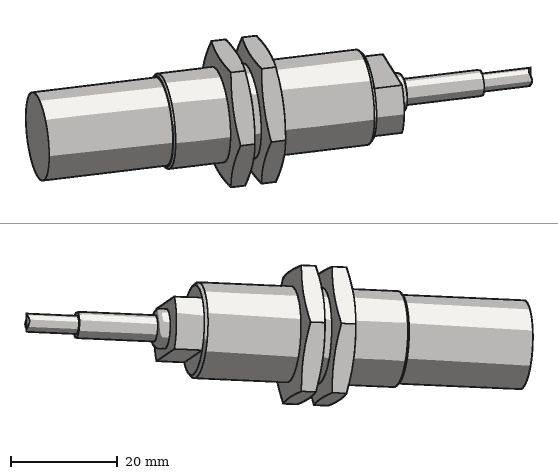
import cadquery as cq
import math

OVERALL_LENGTH = 96.0

HEAD_DIAMETER = 16.7
BARREL_DIAMETER = 18.0
BARREL_FRONT = 24.0
BARREL_BACK = 63.5
FRONT_CHAMFER = 0.4
BACK_CHAMFER = 0.6

PLUG_DIAMETER = BARREL_DIAMETER - 2 * BACK_CHAMFER
PLUG_FLATS = 10.0
PLUG_BACK = 68.9
COLLAR_DIAMETER = 7.5
COLLAR_BACK = 71.0
COLLAR_FILLET = 1.0
SLEEVE_DIAMETER = 5.0
SLEEVE_BACK = 86.1
SLEEVE_TAPER_LENGTH = 0.6
SLEEVE_TAPER_DEPTH = 0.1

NUT_FLATS = 24.0
NUT_THICKNESS = 4.0
NUT_GAP = 1.9
NUT_COUNT = 2
FIRST_NUT_FRONT = 35.0
NUT_FACE_DIAMETER = 23.0
NUT_CHAMFER_ANGLE = 15.0

CABLE_DIAMETER = 3.5
BREAK_HEIGHT = 0.4


def cylinder(diameter, front, back):
    """Solid cylinder on the Y axis between two Y positions."""
    return cq.Workplane("XZ", origin=(0, front, 0)).circle(diameter / 2).extrude(front - back)


def make_nut(front):
    """Hexagonal nut with conical chamfers on both faces, corners along X."""
    back = front + NUT_THICKNESS
    corner_radius = NUT_FLATS / math.sqrt(3)
    face_radius = NUT_FACE_DIAMETER / 2
    chamfer_depth = (corner_radius - face_radius) * math.tan(math.radians(NUT_CHAMFER_ANGLE))
    hexagon = (
        cq.Workplane("XZ", origin=(0, front, 0))
        .polygon(6, 2 * corner_radius)
        .extrude(-NUT_THICKNESS)
    )
    chamfer_envelope = (
        cq.Workplane("XY")
        .moveTo(0, front)
        .lineTo(face_radius, front)
        .lineTo(corner_radius, front + chamfer_depth)
        .lineTo(corner_radius, back - chamfer_depth)
        .lineTo(face_radius, back)
        .lineTo(0, back)
        .close()
        .revolve(360, (0, 0, 0), (0, 1, 0))
    )
    return hexagon.intersect(chamfer_envelope)


def make_plug():
    """Round rear plug with flats facing up and down."""
    length = PLUG_BACK - BARREL_BACK
    flats = cq.Workplane("XY").box(PLUG_DIAMETER, length, PLUG_FLATS)
    flats = flats.translate((0, BARREL_BACK + length / 2, 0))
    return cylinder(PLUG_DIAMETER, BARREL_BACK, PLUG_BACK).intersect(flats)


def make_sleeve():
    """Cable sleeve with a slight taper at its free end."""
    radius = SLEEVE_DIAMETER / 2
    return (
        cq.Workplane("XY")
        .moveTo(0, COLLAR_BACK)
        .lineTo(radius, COLLAR_BACK)
        .lineTo(radius, SLEEVE_BACK - SLEEVE_TAPER_LENGTH)
        .lineTo(radius - SLEEVE_TAPER_DEPTH, SLEEVE_BACK)
        .lineTo(0, SLEEVE_BACK)
        .close()
        .revolve(360, (0, 0, 0), (0, 1, 0))
    )


def make_sensor():
    """Head, barrel, nuts, plug and cable outlet as one solid."""
    barrel = (
        cylinder(BARREL_DIAMETER, BARREL_FRONT, BARREL_BACK)
        .faces("<Y").chamfer(FRONT_CHAMFER)
        .faces(">Y").chamfer(BACK_CHAMFER)
    )
    collar = cylinder(COLLAR_DIAMETER, PLUG_BACK, COLLAR_BACK).faces(">Y").edges().fillet(COLLAR_FILLET)
    sleeve = make_sleeve()
    body = cylinder(HEAD_DIAMETER, 0, BARREL_FRONT).union(barrel)
    for index in range(NUT_COUNT):
        body = body.union(make_nut(FIRST_NUT_FRONT + index * (NUT_THICKNESS + NUT_GAP)))
    return body.union(make_plug()).union(collar).union(sleeve)


def make_cable():
    """Cable seated on the sleeve end; its free end has a crest at -X and a trough at +X."""
    radius = CABLE_DIAMETER / 2
    break_middle = OVERALL_LENGTH - BREAK_HEIGHT
    break_outline = (
        cq.Workplane("XY", origin=(0, 0, -radius))
        .moveTo(-radius, SLEEVE_BACK)
        .lineTo(-radius, break_middle)
        .threePointArc((-radius / 2, OVERALL_LENGTH), (0, break_middle))
        .threePointArc((radius / 2, break_middle - BREAK_HEIGHT), (radius, break_middle))
        .lineTo(radius, SLEEVE_BACK)
        .close()
        .extrude(CABLE_DIAMETER)
    )
    return cylinder(CABLE_DIAMETER, SLEEVE_BACK, OVERALL_LENGTH).intersect(break_outline)


sensor = make_sensor()
cable = make_cable()
result = cq.Compound.makeCompound([sensor.val(), cable.val()])